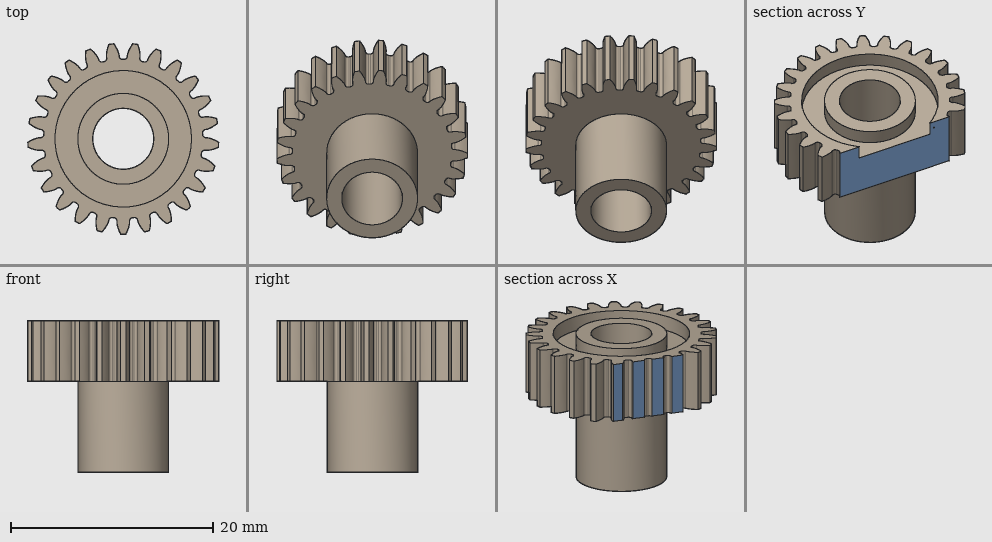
import cadquery as cq
import math


overall_width = 18.89
overall_height = 15.0
gear_thickness = 6.0
hub_diameter = 9.0
bore_diameter = 6.0
recess_diameter = 13.5
recess_depth = 1.5
root_fillet = 0.3

tooth_count = 25
pressure_angle = math.radians(20)
addendum_factor = 1.0
dedendum_factor = 1.25
flank_steps = 8


def involute(angle):
    """Polar angle swept by an involute at the given pressure angle."""
    return math.tan(angle) - angle


def tooth_half_angle(radius_ratio):
    """Half the angle a tooth fills at a radius given in pitch radii (base circle or larger)."""
    local_pressure_angle = math.acos(min(1.0, math.cos(pressure_angle) / radius_ratio))
    return math.pi / (2 * tooth_count) + involute(pressure_angle) - involute(local_pressure_angle)


tooth_pitch = 2 * math.pi / tooth_count
tip_half_angle = tooth_half_angle(1 + 2 * addendum_factor / tooth_count)
tip_radius = overall_width / 2 / math.cos(tooth_pitch / 4 - tip_half_angle)

module = 2 * tip_radius / (tooth_count + 2 * addendum_factor)
pitch_radius = module * tooth_count / 2
base_radius = pitch_radius * math.cos(pressure_angle)
root_radius = pitch_radius - dedendum_factor * module
gear_bottom = overall_height - gear_thickness


def polar(radius, angle):
    return (radius * math.cos(angle), radius * math.sin(angle))


def flank(center_angle, side):
    """Involute points from the base circle to the tip; side is -1 or +1."""
    points = []
    for step in range(flank_steps + 1):
        radius = base_radius + (tip_radius - base_radius) * step / flank_steps
        half_angle = tooth_half_angle(radius / pitch_radius)
        points.append(polar(radius, center_angle + side * half_angle))
    return points


def make_toothed_disc():
    """Gear blank with involute flanks, radial roots and filleted root corners."""
    base_half_angle = tooth_half_angle(base_radius / pitch_radius)
    first_center = -math.pi / 2
    outline = cq.Workplane("XY").workplane(offset=gear_bottom)
    outline = outline.moveTo(*polar(root_radius, first_center - base_half_angle))
    for index in range(tooth_count):
        center = first_center + index * tooth_pitch
        rising = flank(center, -1)
        falling = flank(center, 1)[::-1]
        gap_middle = center + tooth_pitch / 2
        next_root = center + tooth_pitch - base_half_angle
        outline = (
            outline.lineTo(*rising[0])
            .spline(rising[1:], includeCurrent=True)
            .threePointArc(polar(tip_radius, center), falling[0])
            .spline(falling[1:], includeCurrent=True)
            .lineTo(*polar(root_radius, center + base_half_angle))
            .threePointArc(polar(root_radius, gap_middle), polar(root_radius, next_root))
        )
    disc = outline.close().extrude(gear_thickness)

    finder_radius = (root_radius + base_radius) / 2
    finder = cq.Workplane("XY").circle(finder_radius).extrude(overall_height).val()
    root_corners = [
        edge for edge in disc.edges("|Z").vals() if finder.isInside(edge.Center())
    ]
    return disc.newObject(root_corners).fillet(root_fillet)


def make_recess():
    """Ring cut into the top face around the hub."""
    return (
        cq.Workplane("XY")
        .workplane(offset=overall_height - recess_depth)
        .circle(recess_diameter / 2)
        .circle(hub_diameter / 2)
        .extrude(recess_depth)
    )


hub = cq.Workplane("XY").circle(hub_diameter / 2).extrude(overall_height)
bore = cq.Workplane("XY").circle(bore_diameter / 2).extrude(overall_height)

result = make_toothed_disc().cut(make_recess()).union(hub).cut(bore)